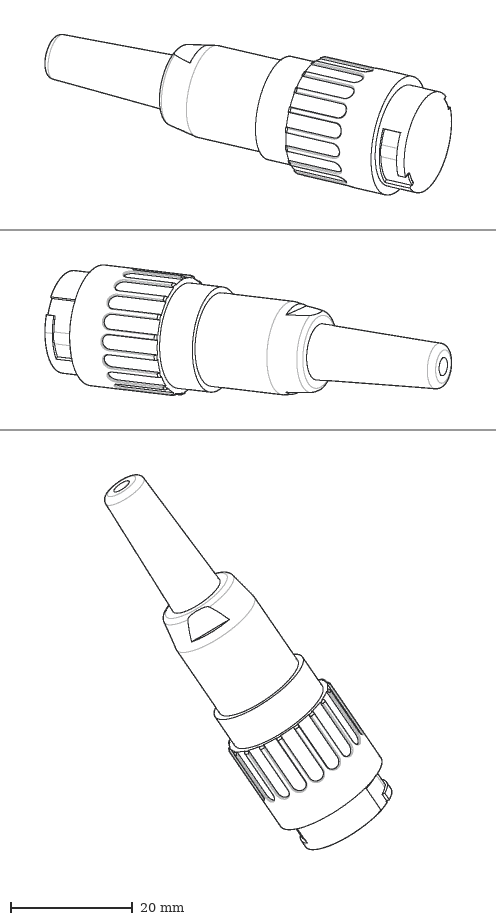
import cadquery as cq
import math

total_length = 69.4
sleeve_end = 22.8
flat_end = 27.15
taper_end = 28.6
body_end = 41.85
grip_start = 47.9
grip_end = 63.85
nose_end = 69.2

sleeve_tip_radius = 3.75
sleeve_root_radius = 4.65
sleeve_edge_round = 1.05
cable_hole_diameter = 3.0
cable_hole_depth = 2.1

taper_start_radius = 6.7
taper_edge_round = 0.8
body_diameter = 15.5
shoulder_diameter = 17.4
grip_diameter = 20.0
nose_diameter = 17.0
flat_height = 6.5

recess_count = 18
recess_width = 2.5
recess_depth = 0.4
recess_straight_end = 56.7
recess_edge_round = 0.15
ridge_lead_length = 0.4
ridge_lead_drop = 0.2

slot_depth = 0.55
slot_start = 64.6
slot_shoulder = 67.8
slot_closed_angle = 33
slot_mouth_angle = -20
slot_open_angle = -41

bump_top_angle = 14
bump_bottom_angle = -1
bump_height = 0.175

tab_thickness = 0.55

grip_radius = grip_diameter / 2
nose_radius = nose_diameter / 2
slot_floor_radius = nose_radius - slot_depth


def cylinder(start, end, radius):
    return cq.Workplane("YZ", origin=(start, 0, 0)).circle(radius).extrude(end - start)


def section_point(radius, angle):
    """Point (Y, Z) at an angle up from the -Y direction."""
    turn = math.radians(angle)
    return (-radius * math.cos(turn), radius * math.sin(turn))


def sector(start, end, inner_radius, outer_radius, first_angle, last_angle):
    """Ring segment along X between two angles up from the -Y direction."""
    middle_angle = (first_angle + last_angle) / 2

    return (
        cq.Workplane("YZ", origin=(start, 0, 0))
        .moveTo(*section_point(inner_radius, first_angle))
        .lineTo(*section_point(outer_radius, first_angle))
        .threePointArc(section_point(outer_radius, middle_angle), section_point(outer_radius, last_angle))
        .lineTo(*section_point(inner_radius, last_angle))
        .threePointArc(section_point(inner_radius, middle_angle), section_point(inner_radius, first_angle))
        .close()
        .extrude(end - start)
    )


def make_sleeve():
    sleeve = (
        cq.Workplane("XY")
        .polyline([(0, 0), (0, sleeve_tip_radius), (sleeve_end, sleeve_root_radius), (sleeve_end, 0)])
        .close()
        .revolve(360, (0, 0, 0), (1, 0, 0))
        .faces("<X").edges().fillet(sleeve_edge_round)
    )
    return sleeve.cut(cylinder(0, cable_hole_depth, cable_hole_diameter / 2))


def make_tapered_end():
    taper = (
        cq.Workplane("XY")
        .polyline([
            (sleeve_end, 0),
            (sleeve_end, taper_start_radius),
            (taper_end, body_diameter / 2),
            (taper_end, 0),
        ])
        .close()
        .revolve(360, (0, 0, 0), (1, 0, 0))
        .faces("<X").edges().fillet(taper_edge_round)
    )
    cut_height = body_diameter
    for side in (1, -1):
        flat = cq.Workplane("XY").box(flat_end - sleeve_end, body_diameter, cut_height)
        flat = flat.translate(((sleeve_end + flat_end) / 2, 0, side * (flat_height + cut_height / 2)))
        taper = taper.cut(flat)
    return taper


def round_recess_rims(grip):
    """Round the recess edges that lie on the outer surface of the grip."""
    tolerance = 0.001

    def on_rim(edge):
        middle = edge.positionAt(0.5)
        on_surface = abs(math.hypot(middle.y, middle.z) - grip_radius) < tolerance
        behind_chamfer = middle.x > grip_start + ridge_lead_length + tolerance
        return on_surface and behind_chamfer and middle.x < grip_end - tolerance

    rim = grip.edges().filter(on_rim)
    return rim.fillet(recess_edge_round)


def make_grip():
    grip = (
        cylinder(grip_start, grip_end, grip_radius)
        .faces("<X").edges().chamfer(ridge_lead_length, ridge_lead_drop)
    )
    end_round = recess_width / 2
    outline = (
        cq.Workplane("XZ")
        .moveTo(grip_start, -end_round)
        .lineTo(recess_straight_end, -end_round)
        .threePointArc((recess_straight_end + end_round, 0), (recess_straight_end, end_round))
        .lineTo(grip_start, end_round)
        .close()
        .extrude(grip_diameter)
    )
    recess = outline.cut(cylinder(grip_start, grip_end, grip_radius - recess_depth))
    for index in range(recess_count):
        grip = grip.cut(recess.rotate((0, 0, 0), (1, 0, 0), index * 360 / recess_count))
    return round_recess_rims(grip)


def make_nose():
    nose = cylinder(grip_end, nose_end, nose_radius)
    channel = sector(
        slot_start, slot_shoulder, slot_floor_radius, grip_radius, slot_open_angle, slot_closed_angle
    )
    mouth = sector(
        slot_start, nose_end, slot_floor_radius, grip_radius, slot_open_angle, slot_mouth_angle
    )
    bump = (
        cq.Workplane("YZ", origin=(slot_start, 0, 0))
        .moveTo(0, 0)
        .lineTo(*section_point(slot_floor_radius, bump_bottom_angle))
        .threePointArc(
            section_point(slot_floor_radius + bump_height, (bump_bottom_angle + bump_top_angle) / 2),
            section_point(slot_floor_radius, bump_top_angle),
        )
        .close()
        .extrude(slot_shoulder - slot_start)
    )
    slot = channel.union(mouth).cut(bump)
    for angle in (0, 180):
        nose = nose.cut(slot.rotate((0, 0, 0), (1, 0, 0), angle))
    return nose


def make_tab():
    tab_inner_radius = slot_floor_radius - tab_thickness
    return sector(
        grip_end, total_length, tab_inner_radius, slot_floor_radius, slot_open_angle, slot_mouth_angle
    )


result = (
    make_sleeve()
    .union(make_tapered_end())
    .union(cylinder(taper_end, body_end, body_diameter / 2))
    .union(cylinder(body_end, grip_start, shoulder_diameter / 2))
    .union(make_grip())
    .union(make_nose())
    .union(make_tab())
)